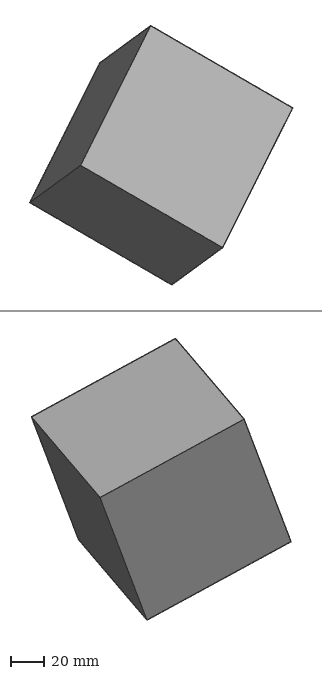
import cadquery as cq

CUBE_SIDE = 100.0
TURN_ABOUT_Z = 45.0
TILT_ABOUT_Y = 45.0

ORIGIN = (0, 0, 0)
Y_AXIS = (0, 1, 0)
Z_AXIS = (0, 0, 1)


def tilted_cube():
    """Plain cube, centred on the origin, turned onto an edge and then tilted."""
    cube = cq.Workplane("XY").box(CUBE_SIDE, CUBE_SIDE, CUBE_SIDE)
    turned = cube.rotate(ORIGIN, Z_AXIS, TURN_ABOUT_Z)
    return turned.rotate(ORIGIN, Y_AXIS, TILT_ABOUT_Y)


result = tilted_cube()